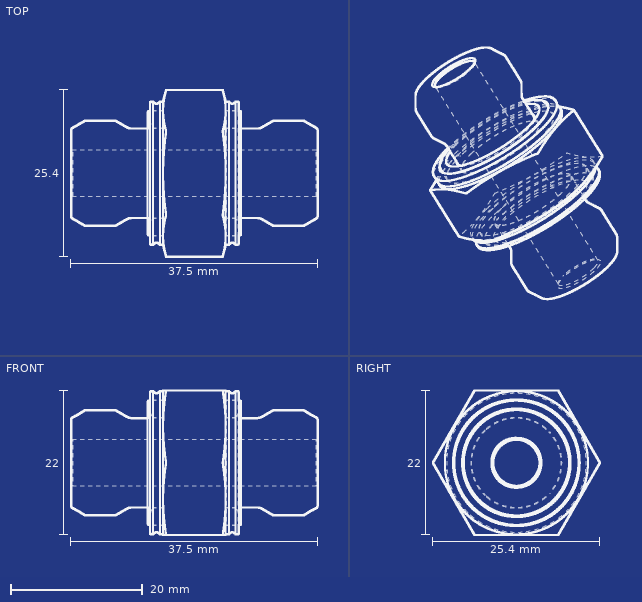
import cadquery as cq
import math

length = 37.5
hex_across_flats = 22.0
hex_width = 9.52
bore_diameter = 7.0
bore_chamfer = 0.3

thread_diameter = 16.0
neck_diameter = 13.6
thread_tip = 2.15
thread_end = 6.75
cone_angle = 30.0
thread_edge_radius = 0.35
tip_edge_radius = 0.45
neck_blend_radius = 1.5

flange_diameter = 21.8
flange_face = 6.75
flange_edge_radius = 0.22
waist_inner = 5.25
waist_outer = 6.25
waist_depth = 0.3
hex_chamfer_diameter = 21.95
hex_chamfer_angle = 15.0
hex_corner_radius = 0.1

recess_diameter = 19.05
recess_depth = 1.88
recess_edge_chamfer = 0.1
seal_outer_diameter = 18.9
seal_inner_diameter = 13.8
seal_mouth_diameter = 16.5
seal_bevel_angle = 60.0
seal_projection = 0.35
seal_edge_radius = 0.2

half_length = length / 2
half_hex = hex_width / 2
recess_floor = flange_face - recess_depth
cone_slope = math.tan(math.radians(cone_angle))


def make_stud():
    """Right-hand stud: neck, thread and conical tip, with rounded transitions."""
    thread_radius = thread_diameter / 2
    neck_radius = neck_diameter / 2
    neck_start = half_length - thread_end - (thread_radius - neck_radius) / cone_slope
    tip_radius = thread_radius - thread_tip * cone_slope
    stud = (
        cq.Workplane("XY")
        .moveTo(0, 0)
        .lineTo(0, neck_radius)
        .lineTo(neck_start, neck_radius)
        .lineTo(half_length - thread_end, thread_radius)
        .lineTo(half_length - thread_tip, thread_radius)
        .lineTo(half_length, tip_radius)
        .lineTo(half_length, 0)
        .close()
        .revolve(360, (0, 0, 0), (1, 0, 0))
    )
    stud = round_edge_at(stud, neck_start, neck_blend_radius)
    stud = round_edge_at(stud, half_length - thread_end, thread_edge_radius)
    stud = round_edge_at(stud, half_length - thread_tip, thread_edge_radius)
    return round_edge_at(stud, half_length, tip_edge_radius)


def round_edge_at(solid, position, radius):
    """Fillet the circular edge at one X position."""
    margin = 0.005
    edge_box = cq.selectors.BoxSelector(
        (position - margin, -length, -length), (position + margin, length, length), boundingbox=True
    )
    return solid.edges("%CIRCLE").edges(edge_box).fillet(radius)


def make_flange():
    """Right-hand flange with its rim groove and seal recess."""
    radius = flange_diameter / 2
    waist_middle = (waist_inner + waist_outer) / 2
    flange = (
        cq.Workplane("XY")
        .moveTo(0, 0)
        .lineTo(0, radius)
        .lineTo(waist_inner, radius)
        .threePointArc((waist_middle, radius - waist_depth), (waist_outer, radius))
        .lineTo(flange_face, radius)
        .lineTo(flange_face, 0)
        .close()
        .revolve(360, (0, 0, 0), (1, 0, 0))
    )
    flange = round_edge_at(flange, flange_face, flange_edge_radius)
    recess = cq.Workplane("YZ", origin=(recess_floor, 0, 0)).circle(recess_diameter / 2).extrude(recess_depth)
    flange = flange.cut(recess)
    mouth = cq.selectors.RadiusNthSelector(0)
    return flange.faces(">X").edges(mouth).chamfer(recess_edge_chamfer)


def make_hexagon():
    """Hexagon with corners on the Y axis, chamfered by a cone at both ends."""
    corner_radius = hex_across_flats / 2 / math.cos(math.pi / 6)
    blank = cq.Workplane("YZ").polygon(6, 2 * corner_radius).extrude(half_hex, both=True)
    blank = blank.edges("|X").fillet(hex_corner_radius)
    end_radius = hex_chamfer_diameter / 2
    middle_radius = end_radius + half_hex / math.tan(math.radians(hex_chamfer_angle))
    envelope = (
        cq.Workplane("XY")
        .moveTo(-half_hex, 0)
        .lineTo(-half_hex, end_radius)
        .lineTo(0, middle_radius)
        .lineTo(half_hex, end_radius)
        .lineTo(half_hex, 0)
        .close()
        .revolve(360, (0, 0, 0), (1, 0, 0))
    )
    return blank.intersect(envelope)


def make_fitting():
    """Hexagon, two flanged studs and the through bore in one body."""
    fitting = make_hexagon()
    right_end = make_flange().union(make_stud())
    fitting = fitting.union(right_end).union(right_end.mirror("YZ"))
    bore = cq.Workplane("YZ").circle(bore_diameter / 2).extrude(half_length, both=True)
    fitting = fitting.cut(bore)
    mouth = cq.selectors.RadiusNthSelector(0)
    fitting = fitting.faces(">X").edges(mouth).chamfer(bore_chamfer)
    return fitting.faces("<X").edges(mouth).chamfer(bore_chamfer)


def make_seal(side):
    """Sealing ring on the +X (side = 1) or -X (side = -1) flange."""
    seal_face = flange_face + seal_projection
    outer_radius = seal_outer_diameter / 2
    inner_radius = seal_inner_diameter / 2
    mouth_radius = seal_mouth_diameter / 2
    bevel_depth = (mouth_radius - inner_radius) / math.tan(math.radians(seal_bevel_angle))
    seal = (
        cq.Workplane("XY")
        .moveTo(recess_floor, inner_radius)
        .lineTo(recess_floor, outer_radius)
        .lineTo(seal_face, outer_radius)
        .lineTo(seal_face, mouth_radius)
        .lineTo(seal_face - bevel_depth, inner_radius)
        .close()
        .revolve(360, (0, 0, 0), (1, 0, 0))
    )
    rim = cq.selectors.RadiusNthSelector(-1)
    seal = seal.faces(">X").edges(rim).fillet(seal_edge_radius)
    return seal if side > 0 else seal.mirror("YZ")


fitting = make_fitting()
seals = [make_seal(side).val() for side in (-1, 1)]

result = cq.Compound.makeCompound([fitting.val(), *seals])